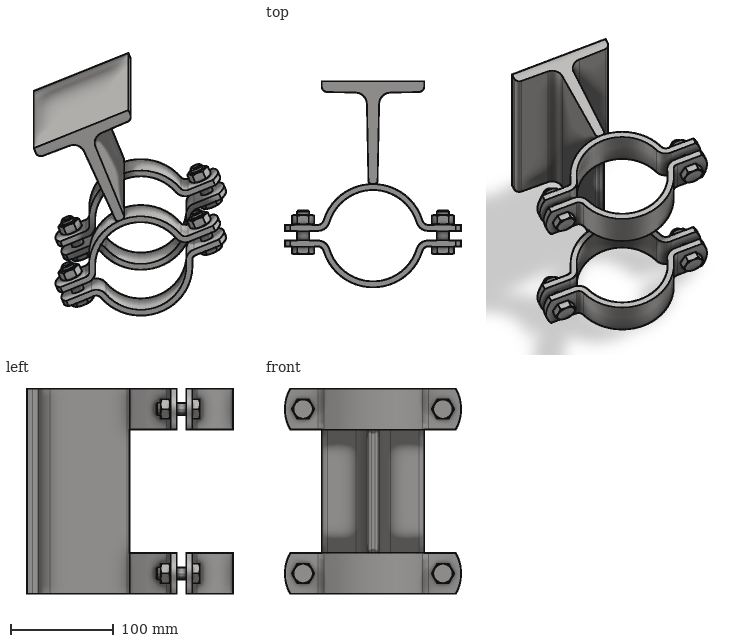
import cadquery as cq
import math

bar_length = 200.0
tee_size = 100.0
tee_thickness = 11.0
tee_taper = 0.02
root_radius = tee_thickness
flange_edge_radius = tee_thickness / 2
web_edge_radius = 3.0

strap_thickness = 6.0
strap_width = 40.0
ring_diameter = 100.8
bend_radius = 6.0
ear_gap = 9.0
clamp_span = 172.0
ear_tip_radius = strap_width

bolt_spacing = 136.2
bolt_diameter = 12.0
bolt_length = 35.1
bolt_tip_chamfer = 1.5
hex_flats = 19.0
head_height = 7.5
head_face_diameter = 18.7
nut_height = 10.0
nut_face_diameter = 17.3
hex_chamfer_angle = 30

ring_radius = ring_diameter / 2
ear_outer_y = ear_gap / 2 + strap_thickness
hex_corners = hex_flats / math.cos(math.radians(30))


def make_tee_bar():
    """Tee section whose web tip rests on the back of the clamp rings."""
    web_tip_y = ring_radius
    back_y = web_tip_y + tee_size
    half_width = tee_size / 2
    flange_edge_y = back_y - tee_thickness + tee_taper * tee_size / 4
    web_tip_x = tee_thickness / 2 - tee_taper * tee_size / 2

    web_rise = flange_edge_y - web_tip_y
    web_reach = half_width - web_tip_x
    root_x = web_tip_x + tee_taper * (web_rise - tee_taper * web_reach) / (1 - tee_taper**2)
    root_y = flange_edge_y - tee_taper * (half_width - root_x)

    outline = [
        (-half_width, back_y),
        (half_width, back_y),
        (half_width, flange_edge_y),
        (root_x, root_y),
        (web_tip_x, web_tip_y),
        (-web_tip_x, web_tip_y),
        (-root_x, root_y),
        (-half_width, flange_edge_y),
    ]
    bar = cq.Workplane("XY").polyline(outline).close().extrude(bar_length)

    def edges_at(x, y):
        """Both upright edges at plus and minus x."""
        reach = 0.2
        low = (-x - reach, y - reach, -reach)
        high = (x + reach, y + reach, bar_length + reach)
        return cq.selectors.BoxSelector(low, high, boundingbox=False)

    bar = bar.edges("|Z").edges(edges_at(root_x, root_y)).fillet(root_radius)
    bar = bar.edges("|Z").edges(edges_at(half_width, flange_edge_y)).fillet(flange_edge_radius)
    return bar.edges("|Z").edges(edges_at(web_tip_x, web_tip_y)).fillet(web_edge_radius)


def make_strap():
    """Strap on the +Y side: half ring, two bends and two ears with arched tips."""
    bend_y = ear_outer_y + bend_radius
    bend_x = math.sqrt((ring_radius + bend_radius) ** 2 - bend_y**2)
    bend_angle = math.atan2(bend_y, bend_x)
    inner_radius = ring_radius - strap_thickness
    inner_bend_radius = bend_radius + strap_thickness
    ear_inner_y = ear_gap / 2
    tip_x = clamp_span / 2

    def ring_point(radius, side):
        return (side * radius * math.cos(bend_angle), radius * math.sin(bend_angle))

    def bend_point(radius, side):
        """Middle of the bend, on an arc about the bend centre."""
        middle = (bend_angle + math.pi / 2) / 2
        return (side * (bend_x - radius * math.cos(middle)), bend_y - radius * math.sin(middle))

    bent_strip = (
        cq.Workplane("XY")
        .moveTo(-tip_x, ear_outer_y)
        .lineTo(-bend_x, ear_outer_y)
        .threePointArc(bend_point(bend_radius, -1), ring_point(ring_radius, -1))
        .threePointArc((0, ring_radius), ring_point(ring_radius, 1))
        .threePointArc(bend_point(bend_radius, 1), (bend_x, ear_outer_y))
        .lineTo(tip_x, ear_outer_y)
        .lineTo(tip_x, ear_inner_y)
        .lineTo(bend_x, ear_inner_y)
        .threePointArc(bend_point(inner_bend_radius, 1), ring_point(inner_radius, 1))
        .threePointArc((0, inner_radius), ring_point(inner_radius, -1))
        .threePointArc(bend_point(inner_bend_radius, -1), (-bend_x, ear_inner_y))
        .lineTo(-tip_x, ear_inner_y)
        .close()
        .extrude(strap_width / 2, both=True)
    )

    half_strap = strap_width / 2
    arch_rise = ear_tip_radius - math.sqrt(ear_tip_radius**2 - half_strap**2)
    corner_x = tip_x - arch_rise
    plate = (
        cq.Workplane("XZ")
        .moveTo(-corner_x, half_strap)
        .lineTo(corner_x, half_strap)
        .threePointArc((tip_x, 0), (corner_x, -half_strap))
        .lineTo(-corner_x, -half_strap)
        .threePointArc((-tip_x, 0), (-corner_x, half_strap))
        .close()
        .extrude(ring_diameter, both=True)
    )
    return bent_strip.intersect(plate)


def make_hex(height, face_diameter, both_ends):
    """Hexagon from y = 0 to y = height, chamfered at the far end or at both ends."""
    prism = cq.Workplane("XZ").polygon(6, hex_corners).extrude(-height)
    face_radius = face_diameter / 2
    corner_radius = hex_corners / 2
    drop = (corner_radius - face_radius) * math.tan(math.radians(hex_chamfer_angle))

    profile = cq.Workplane("XY").lineTo(face_radius if both_ends else corner_radius, 0)
    if both_ends:
        profile = profile.lineTo(corner_radius, drop)
    blank = (
        profile.lineTo(corner_radius, height - drop)
        .lineTo(face_radius, height)
        .lineTo(0, height)
        .close()
        .revolve(360, (0, 0), (0, 1))
    )
    return prism.intersect(blank)


def make_bolt_and_nut():
    """Bolt with its head on the front ear and its nut on the back ear."""
    head = make_hex(head_height, head_face_diameter, both_ends=False)
    head = head.rotate((0, 0, 0), (0, 0, 1), 180).translate((0, -ear_outer_y, 0))
    nut = make_hex(nut_height, nut_face_diameter, both_ends=True).translate((0, ear_outer_y, 0))
    shank = (
        cq.Workplane("XZ", origin=(0, -ear_outer_y, 0))
        .circle(bolt_diameter / 2)
        .extrude(-bolt_length)
        .faces(">Y")
        .chamfer(bolt_tip_chamfer)
    )
    return shank.union(head).union(nut)


def make_clamp(middle_z):
    """Bolted clamp centred at the given height."""
    back_strap = make_strap()
    front_strap = back_strap.mirror("XZ")
    bolt = make_bolt_and_nut()
    clamp = back_strap.union(front_strap)
    for side in (-1, 1):
        clamp = clamp.union(bolt.translate((side * bolt_spacing / 2, 0, 0)))
    return clamp.translate((0, 0, middle_z))


tee_bar = make_tee_bar()

clamps = []
for clamp_z in (strap_width / 2, bar_length - strap_width / 2):
    clamps.append(make_clamp(clamp_z).solids().val())

result = cq.Compound.makeCompound([tee_bar.solids().val(), *clamps])